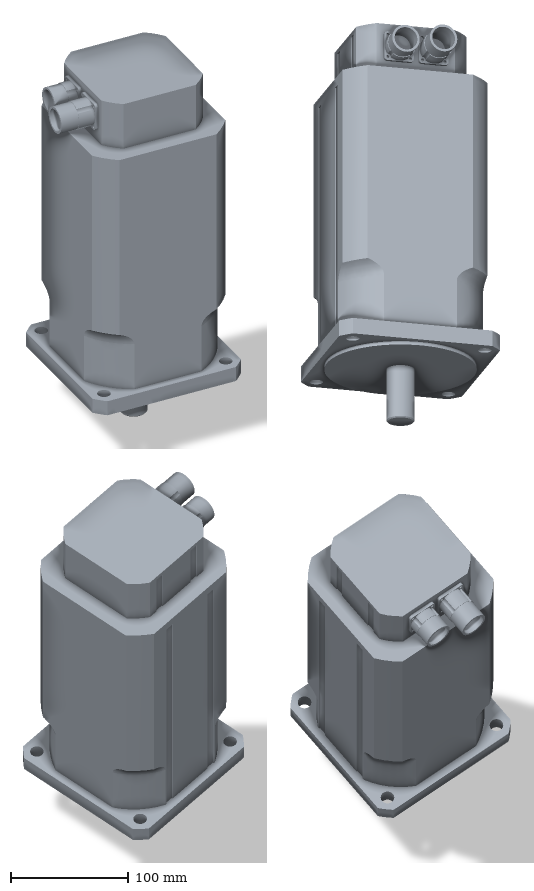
import cadquery as cq
import math

SPIGOT_BOTTOM = 47.0
FLANGE_BOTTOM = 50.0
FLANGE_TOP = 64.0
RELIEF_TOP = 108.8
BODY_TOP = 295.8
MOTOR_TOP = 340.0

SHAFT_DIAMETER = 24.0
SHAFT_CHAMFER = 1.0
SPIGOT_DIAMETER = 130.0
FLANGE_WIDTH = 142.0
FLANGE_CORNER_DIAMETER = 188.0
BODY_WIDTH = 128.0
BODY_CORNER_DIAMETER = 158.0
RELIEF_DIAMETER = 143.0
RELIEF_FILLET = 15.0
CAP_WIDTH = 97.2
CAP_CORNER_DIAMETER = 119.5
MOUNTING_HOLE_DIAMETER = 11.5
MOUNTING_CIRCLE_DIAMETER = 165.0

GROOVE_WIDTH = 8.0
GROOVE_DEPTH = 1.0
BODY_GROOVE_OFFSET = 26.5
BODY_GROOVE_TOP = 287.5
CAP_GROOVE_OFFSET = 22.0
CAP_GROOVE_TOP = 336.3

CONNECTOR_OFFSET = 15.3
CONNECTOR_Z = 319.5
PLATE_WIDTH = 26.0
PLATE_CORNER_RADIUS = 2.7
PLATE_THICKNESS = 2.7
SCREW_HOLE_DIAMETER = 2.7
SCREW_SPACING = 20.0
SCREW_CLEARANCE_DIAMETER = 5.5
COLLAR_DIAMETER = 25.0
BARREL_DIAMETER = 24.0
BORE_DIAMETER = 20.0
SHORT_COLLAR_END = 11.5
SHORT_LENGTH = 24.8
LONG_COLLAR_END = 17.7
LONG_LENGTH = 34.5


def disc(diameter, bottom, top):
    """Upright cylinder on the motor axis."""
    return cq.Workplane("XY").workplane(offset=bottom).circle(diameter / 2).extrude(top - bottom)


def square_block(width, bottom, top):
    """Upright square prism on the motor axis."""
    return cq.Workplane("XY").workplane(offset=bottom).rect(width, width).extrude(top - bottom)


def turned_square(width, corner_diameter, bottom, top):
    """Square prism whose corners are turned down to a diameter."""
    return square_block(width, bottom, top).intersect(disc(corner_diameter, bottom, top))


def make_body():
    """Motor body with its lower corners turned down further, ending in a concave fillet."""
    corner_radius = BODY_CORNER_DIAMETER / 2
    relief_radius = RELIEF_DIAMETER / 2
    fillet_center_radius = relief_radius + RELIEF_FILLET
    end_angle = math.acos((fillet_center_radius - corner_radius) / RELIEF_FILLET)
    arc_points = [
        (
            fillet_center_radius - RELIEF_FILLET * math.cos(angle),
            RELIEF_TOP + RELIEF_FILLET * math.sin(angle),
        )
        for angle in (end_angle / 2, end_angle)
    ]
    turned = (
        cq.Workplane("XZ")
        .moveTo(0, FLANGE_TOP)
        .lineTo(relief_radius, FLANGE_TOP)
        .lineTo(relief_radius, RELIEF_TOP)
        .threePointArc(*arc_points)
        .lineTo(corner_radius, BODY_TOP)
        .lineTo(0, BODY_TOP)
        .close()
        .revolve(360, (0, 0, 0), (0, 1, 0))
    )
    return turned.intersect(square_block(BODY_WIDTH, FLANGE_TOP, BODY_TOP))


def make_flange():
    """Mounting flange with a hole in each corner."""
    hole_spacing = MOUNTING_CIRCLE_DIAMETER / math.sqrt(2)
    flange = turned_square(FLANGE_WIDTH, FLANGE_CORNER_DIAMETER, FLANGE_BOTTOM, FLANGE_TOP)
    return (
        flange.faces(">Z")
        .workplane(origin=(0, 0, FLANGE_TOP))
        .rect(hole_spacing, hole_spacing, forConstruction=True)
        .vertices()
        .hole(MOUNTING_HOLE_DIAMETER)
    )


def make_grooves(side_width, offset, bottom, top):
    """Pair of shallow groove cutters on the -X side of a square section."""
    return (
        cq.Workplane("XY")
        .workplane(offset=bottom)
        .pushPoints([(-side_width / 2, -offset), (-side_width / 2, offset)])
        .rect(2 * GROOVE_DEPTH, GROOVE_WIDTH)
        .extrude(top - bottom)
    )


def make_motor():
    """Housing, flange, spigot and shaft as one solid."""
    shaft = disc(SHAFT_DIAMETER, 0, SPIGOT_BOTTOM).faces("<Z").chamfer(SHAFT_CHAMFER)
    spigot = disc(SPIGOT_DIAMETER, SPIGOT_BOTTOM, FLANGE_BOTTOM)
    body = make_body().cut(make_grooves(BODY_WIDTH, BODY_GROOVE_OFFSET, FLANGE_TOP, BODY_GROOVE_TOP))
    cap = turned_square(CAP_WIDTH, CAP_CORNER_DIAMETER, BODY_TOP, MOTOR_TOP)
    cap = cap.cut(make_grooves(CAP_WIDTH, CAP_GROOVE_OFFSET, BODY_TOP, CAP_GROOVE_TOP))
    return make_flange().union(spigot).union(shaft).union(body).union(cap)


def make_connector(x, collar_end, length):
    """Socket pointing to -Y: square screw plate, scalloped collar and hollow barrel."""
    seat = cq.Workplane("XZ", origin=(x, -CAP_WIDTH / 2, CONNECTOR_Z))
    plate_face = seat.workplane(offset=PLATE_THICKNESS)

    def at_screws(plane):
        return plane.rect(SCREW_SPACING, SCREW_SPACING, forConstruction=True).vertices()

    plate = seat.rect(PLATE_WIDTH, PLATE_WIDTH).extrude(PLATE_THICKNESS)
    plate = plate.edges("|Y").fillet(PLATE_CORNER_RADIUS)
    screw_holes = at_screws(seat).circle(SCREW_HOLE_DIAMETER / 2).extrude(PLATE_THICKNESS)
    collar_length = collar_end - PLATE_THICKNESS
    collar = plate_face.circle(COLLAR_DIAMETER / 2).extrude(collar_length)
    scallops = at_screws(plate_face).circle(SCREW_CLEARANCE_DIAMETER / 2).extrude(collar_length)
    barrel = seat.workplane(offset=collar_end).circle(BARREL_DIAMETER / 2).extrude(length - collar_end)
    bore = plate_face.circle(BORE_DIAMETER / 2).extrude(length - PLATE_THICKNESS)
    return plate.cut(screw_holes).union(collar.cut(scallops)).union(barrel).cut(bore)


motor = make_motor()
connectors = [
    make_connector(x, collar_end, length)
    for x, collar_end, length in (
        (-CONNECTOR_OFFSET, SHORT_COLLAR_END, SHORT_LENGTH),
        (CONNECTOR_OFFSET, LONG_COLLAR_END, LONG_LENGTH),
    )
]

result = cq.Compound.makeCompound([motor.val(), *[connector.val() for connector in connectors]])